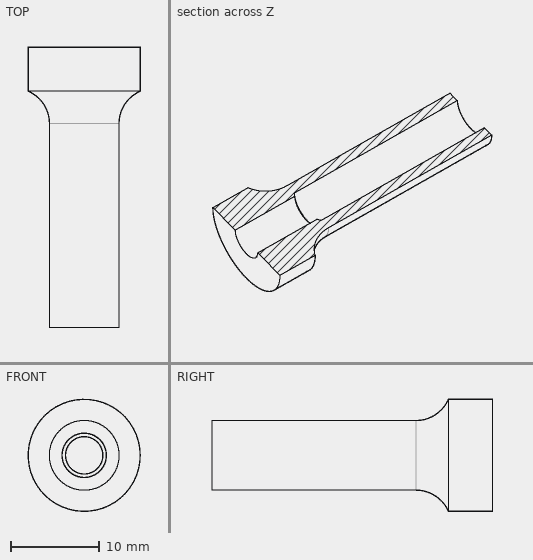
import cadquery as cq
import math

total_length = 31.75
head_diameter = 12.7
head_length = 5.0
shank_diameter = 7.9
neck_radius = 4.0

shank_bore_diameter = 5.04
seat_diameter = 4.98
head_bore_diameter = 4.2
seat_included_angle = 118.0

head_radius = head_diameter / 2
shank_radius = shank_diameter / 2

head_start = total_length - head_length
neck_centre_x = shank_radius + neck_radius
neck_length = math.sqrt(neck_radius**2 - (neck_centre_x - head_radius) ** 2)
neck_start = head_start - neck_length

seat_start = neck_start
seat_depth = (seat_diameter - head_bore_diameter) / 2 / math.tan(math.radians(seat_included_angle / 2))
seat_end = seat_start + seat_depth


def neck_midpoint():
    """Point halfway along the concave neck arc, measured by angle."""
    end_angle = math.asin(neck_length / neck_radius)
    half_angle = end_angle / 2
    x = neck_centre_x - neck_radius * math.cos(half_angle)
    y = neck_start + neck_radius * math.sin(half_angle)
    return x, y


def turned_body():
    """Solid of revolution: shank, concave neck and cylindrical head."""
    half_profile = (
        cq.Workplane("XY")
        .moveTo(0, 0)
        .lineTo(shank_radius, 0)
        .lineTo(shank_radius, neck_start)
        .threePointArc(neck_midpoint(), (head_radius, head_start))
        .lineTo(head_radius, total_length)
        .lineTo(0, total_length)
        .close()
    )
    return half_profile.revolve(360, (0, 0, 0), (0, 1, 0))


def stepped_bore():
    """Solid of revolution to remove: shank bore, conical seat and head bore."""
    shank_bore_radius = shank_bore_diameter / 2
    seat_radius = seat_diameter / 2
    head_bore_radius = head_bore_diameter / 2
    half_profile = (
        cq.Workplane("XY")
        .moveTo(0, 0)
        .lineTo(shank_bore_radius, 0)
        .lineTo(shank_bore_radius, seat_start)
        .lineTo(seat_radius, seat_start)
        .lineTo(head_bore_radius, seat_end)
        .lineTo(head_bore_radius, total_length)
        .lineTo(0, total_length)
        .close()
    )
    return half_profile.revolve(360, (0, 0, 0), (0, 1, 0))


result = turned_body().cut(stepped_bore())